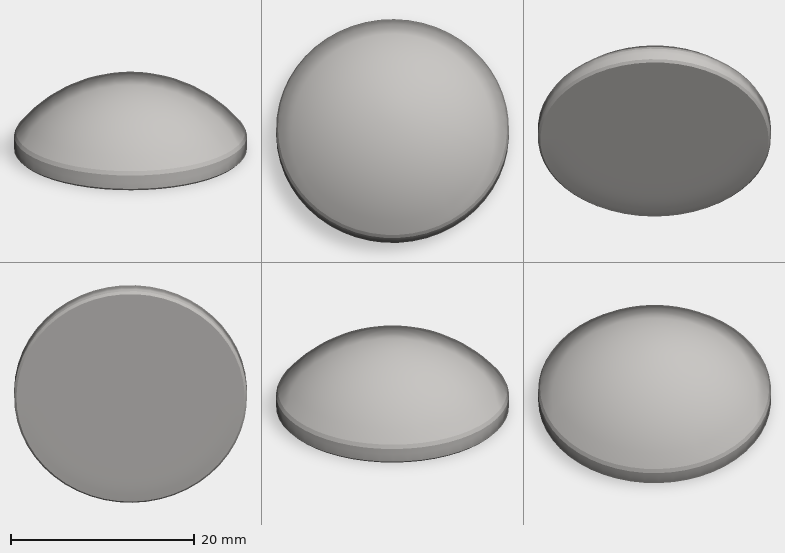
import cadquery as cq

diameter = 25.4
center_thickness = 8.2
bottom_bevel = 0.25
top_bevel_width = 0.2
top_bevel_height = 0.43
dome_base_height = 2.24

radius = diameter / 2
dome_base_radius = radius - top_bevel_width
rim_top_height = dome_base_height - top_bevel_height

dome_height = center_thickness - dome_base_height
sphere_radius = (dome_base_radius**2 + dome_height**2) / (2 * dome_height)
sphere_center_height = center_thickness - sphere_radius

mid_radius = dome_base_radius / 2
mid_height = sphere_center_height + (sphere_radius**2 - mid_radius**2) ** 0.5

half_section = (
    cq.Workplane("XZ")
    .moveTo(0, 0)
    .lineTo(radius - bottom_bevel, 0)
    .lineTo(radius, bottom_bevel)
    .lineTo(radius, rim_top_height)
    .lineTo(dome_base_radius, dome_base_height)
    .threePointArc((mid_radius, mid_height), (0, center_thickness))
    .close()
)

result = half_section.revolve(360, (0, 0, 0), (0, 1, 0))